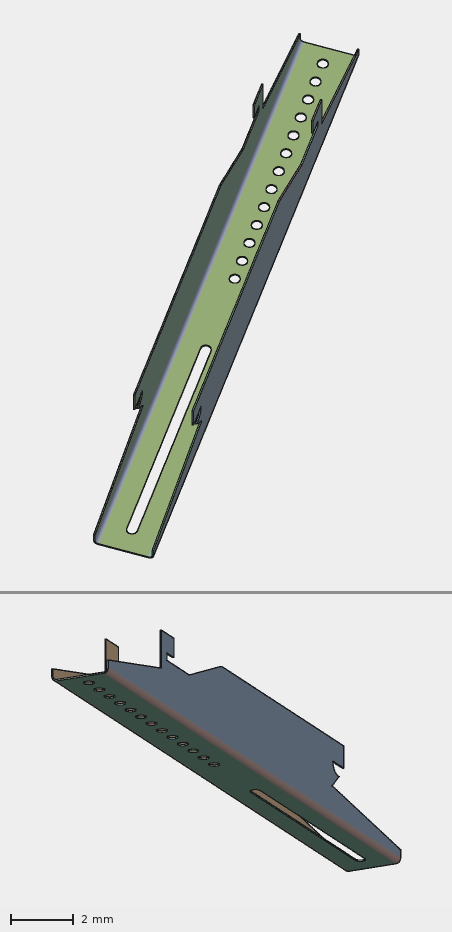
import cadquery as cq

WIDTH = 2.02
LENGTH = 21.0
HEIGHT = 2.7
SHEET = 0.05
BEND_OUTER_RADIUS = 0.175
BEND_INNER_RADIUS = BEND_OUTER_RADIUS - SHEET

FRONT_END = -LENGTH / 2
REAR_END = LENGTH / 2

REAR_END_HEIGHT = 0.43
FRONT_END_HEIGHT = 0.45

HOOK_REAR = 6.69
HOOK_FOOT_HEIGHT = 1.32
HOOK_TOP = 2.6
HOOK_LENGTH = 0.9
HOOK_LIP_HEIGHT = 1.95
HOOK_STEM = 0.4
SHOULDER_HEIGHT = 1.7

RAMP_REAR = 4.68
RAMP_FRONT = 2.37

NOSE_FRONT = -6.42
NOSE_HEIGHT = 1.95
NOTCH_REAR = -5.64
NOTCH_ARC_TOP = 1.87
NOTCH_ARC_MIDDLE = (-5.77, 1.65)
NOTCH_TIP = (-6.08, 1.57)
NOTCH_FOOT = (-5.58, 1.1)

HOLE_COUNT = 13
HOLE_DIAMETER = 0.35
HOLE_PITCH = 0.75
FIRST_HOLE_FROM_REAR = 0.63
SLOT_WIDTH = 0.35
SLOT_LENGTH = 7.88
SLOT_FROM_FRONT = 0.7


def rounded_bar(width, bottom, radius):
    """Bar along Y, from the given bottom height to HEIGHT, with rounded lower edges."""
    return (
        cq.Workplane("XY")
        .box(width, LENGTH, HEIGHT - bottom, centered=(True, True, False))
        .translate((0, 0, bottom))
        .edges("|Y and <Z")
        .fillet(radius)
    )


def channel():
    """Full-height U channel with bent lower corners."""
    outer = rounded_bar(WIDTH, 0, BEND_OUTER_RADIUS)
    inner = rounded_bar(WIDTH - 2 * SHEET, SHEET, BEND_INNER_RADIUS)
    return outer.cut(inner)


def wall_profile():
    """Side wall outline in Y and Z, extruded across the whole width."""
    hook_front = HOOK_REAR - HOOK_LENGTH
    hook_stem_front = HOOK_REAR - HOOK_STEM
    return (
        cq.Workplane("YZ")
        .moveTo(FRONT_END, 0)
        .lineTo(REAR_END, 0)
        .lineTo(REAR_END, REAR_END_HEIGHT)
        .lineTo(HOOK_REAR, HOOK_FOOT_HEIGHT)
        .lineTo(HOOK_REAR, HOOK_TOP)
        .lineTo(hook_front, HOOK_TOP)
        .lineTo(hook_front, HOOK_LIP_HEIGHT)
        .lineTo(hook_stem_front, HOOK_LIP_HEIGHT)
        .lineTo(hook_stem_front, SHOULDER_HEIGHT)
        .lineTo(RAMP_REAR, SHOULDER_HEIGHT)
        .lineTo(RAMP_FRONT, HEIGHT)
        .lineTo(NOSE_FRONT, HEIGHT)
        .lineTo(NOSE_FRONT, NOSE_HEIGHT)
        .lineTo(NOTCH_REAR, NOSE_HEIGHT)
        .lineTo(NOTCH_REAR, NOTCH_ARC_TOP)
        .threePointArc(NOTCH_ARC_MIDDLE, NOTCH_TIP)
        .lineTo(*NOTCH_FOOT)
        .lineTo(FRONT_END, FRONT_END_HEIGHT)
        .close()
        .extrude(WIDTH / 2, both=True)
    )


def base_holes():
    """Row of round cutters through the rear half of the base."""
    first_y = REAR_END - FIRST_HOLE_FROM_REAR
    centres = [(0, first_y - i * HOLE_PITCH) for i in range(HOLE_COUNT)]
    return cq.Workplane("XY").pushPoints(centres).circle(HOLE_DIAMETER / 2).extrude(HEIGHT)


def base_slot():
    """Round-ended slot cutter through the front half of the base."""
    centre_y = FRONT_END + SLOT_FROM_FRONT + SLOT_LENGTH / 2
    return cq.Workplane("XY").center(0, centre_y).slot2D(SLOT_LENGTH, SLOT_WIDTH, 90).extrude(HEIGHT)


result = channel().intersect(wall_profile()).cut(base_holes()).cut(base_slot())